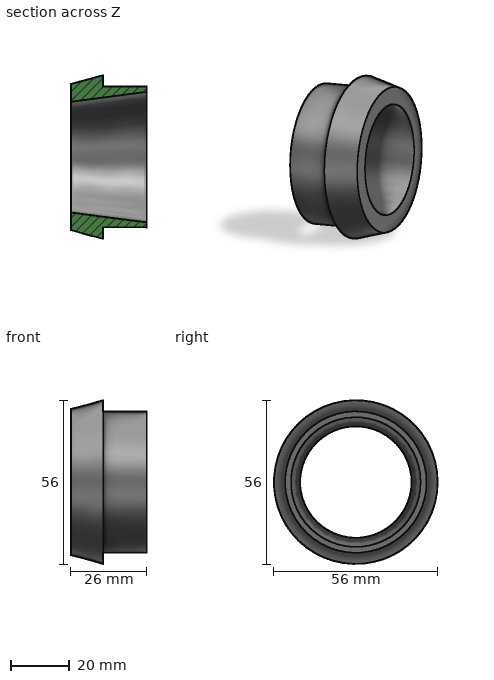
import cadquery as cq

total_length = 26.0
collar_length = 11.0

collar_front_diameter = 50.0
collar_rear_diameter = 56.0
spigot_diameter = 48.3

front_bore_diameter = 38.0
spigot_wall = 2.0
rear_bore_diameter = spigot_diameter - 2 * spigot_wall
bore_land_length = 1.0


def frustum(start_x, length, start_diameter, end_diameter):
    """Solid of revolution about X whose diameter changes evenly along its length."""
    end_x = start_x + length
    return (
        cq.Workplane("XY")
        .moveTo(start_x, 0)
        .lineTo(start_x, start_diameter / 2)
        .lineTo(end_x, end_diameter / 2)
        .lineTo(end_x, 0)
        .close()
        .revolve(360, (0, 0, 0), (1, 0, 0))
    )


def cylinder(start_x, length, diameter):
    """Solid cylinder along X."""
    return frustum(start_x, length, diameter, diameter)


def outer_body():
    """Tapered collar followed by the straight spigot."""
    collar = frustum(0, collar_length, collar_front_diameter, collar_rear_diameter)
    spigot = cylinder(collar_length, total_length - collar_length, spigot_diameter)
    return collar.union(spigot)


def bore():
    """Through passage that widens from the collar face to the spigot end."""
    front_land = cylinder(0, bore_land_length, front_bore_diameter)
    cone_length = total_length - 2 * bore_land_length
    cone = frustum(bore_land_length, cone_length, front_bore_diameter, rear_bore_diameter)
    rear_land = cylinder(total_length - bore_land_length, bore_land_length, rear_bore_diameter)
    return front_land.union(cone).union(rear_land)


result = outer_body().cut(bore())